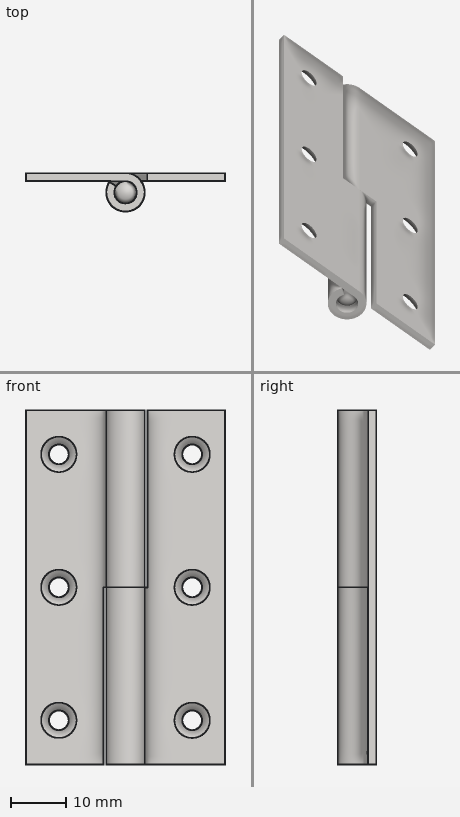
import cadquery as cq
import math

height = 64.0
width = 36.0
thickness = 1.5
pin_diameter = 4.0
leaf_edge_offset = 4.0
curl_end_angle = 147.0

hole_diameter = 3.5
countersink_diameter = 6.4
hole_offset = 12.0
hole_pitch = 24.0

pin_end_recess = 1.0
dome_height = 1.3

half_height = height / 2
bore_radius = pin_diameter / 2
knuckle_radius = bore_radius + thickness


def polar(radius, degrees):
    """Point in the XY plane at a radius and angle about the hinge axis."""
    angle = math.radians(degrees)
    return radius * math.cos(angle), radius * math.sin(angle)


def make_screw_hole(hole_z):
    """Conical cutter through the left leaf, widest at its front face."""
    return cq.Solid.makeCone(
        countersink_diameter / 2,
        hole_diameter / 2,
        thickness,
        pnt=cq.Vector(-hole_offset, bore_radius, hole_z),
        dir=cq.Vector(0, 1, 0),
    )


def make_leaf():
    """Left leaf, its upper half rolled into a knuckle around the pin."""
    middle_angle = (90 + curl_end_angle - 360) / 2
    upper_half = (
        cq.Workplane("XY")
        .moveTo(-width / 2, knuckle_radius)
        .lineTo(0, knuckle_radius)
        .threePointArc(polar(knuckle_radius, middle_angle), polar(knuckle_radius, curl_end_angle))
        .lineTo(*polar(bore_radius, curl_end_angle))
        .threePointArc(polar(bore_radius, middle_angle), (0, bore_radius))
        .lineTo(-width / 2, bore_radius)
        .close()
        .extrude(half_height)
    )
    lower_half = cq.Workplane("XY").box(
        width / 2 - leaf_edge_offset, thickness, half_height, centered=False
    ).translate((-width / 2, bore_radius, -half_height))
    leaf = upper_half.union(lower_half)
    for hole_z in (-hole_pitch, 0, hole_pitch):
        leaf = leaf.cut(cq.Workplane(make_screw_hole(hole_z)))
    return leaf


def make_pin():
    """Pin filling both bores, with a dome at each end."""
    tip = half_height - pin_end_recess
    shoulder = tip - dome_height
    dome_radius = (bore_radius**2 + dome_height**2) / (2 * dome_height)
    dome_center = tip - dome_radius
    middle_angle = (math.asin((shoulder - dome_center) / dome_radius) + math.pi / 2) / 2
    middle_x = dome_radius * math.cos(middle_angle)
    middle_z = dome_center + dome_radius * math.sin(middle_angle)
    return (
        cq.Workplane("XZ")
        .moveTo(0, -tip)
        .threePointArc((middle_x, -middle_z), (bore_radius, -shoulder))
        .lineTo(bore_radius, shoulder)
        .threePointArc((middle_x, middle_z), (0, tip))
        .close()
        .revolve(360, (0, 0, 0), (0, 1, 0))
    )


leaves = [make_leaf().rotate((0, 0, 0), (0, 1, 0), turn) for turn in (0, 180)]
pin = make_pin()

result = cq.Compound.makeCompound([*[leaf.val() for leaf in leaves], pin.val()])